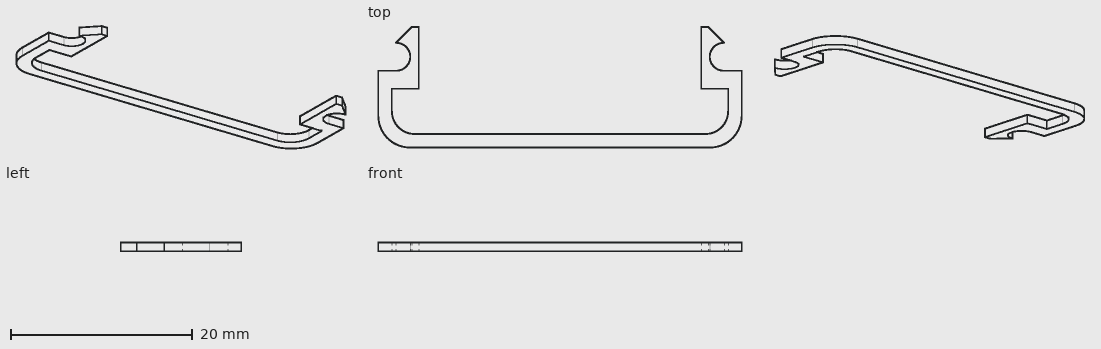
import cadquery as cq

length = 40.0
depth = 13.3
thickness = 1.0

wall = 1.5
outer_radius = 3.5
inner_radius = 2.5
shoulder_y = 8.5
ledge_y = 6.5

hook_inner_inset = 4.5
tip_flat = 0.8
barb_inset = 1.9
notch_radius = 1.5
notch_center_inset = 2.0
barb_y = shoulder_y + 2 * notch_radius

half_length = length / 2


def make_frame():
    """Bar with two upright arms, rounded outside and inside the corners."""
    outer = (
        cq.Workplane("XY")
        .rect(length, 2 * shoulder_y)
        .extrude(thickness)
        .edges("|Z")
        .fillet(outer_radius)
        .translate((0, shoulder_y, 0))
    )
    inner = (
        cq.Workplane("XY")
        .rect(length - 2 * wall, 2 * (shoulder_y - wall))
        .extrude(thickness)
        .edges("|Z")
        .fillet(inner_radius)
        .translate((0, shoulder_y, 0))
    )
    lower_half = cq.Workplane("XY").rect(length, shoulder_y).extrude(thickness)
    return outer.cut(inner).intersect(lower_half.translate((0, shoulder_y / 2, 0)))


def make_hook():
    """Left ledge and barbed hook, with a half-round notch below the barb."""
    hook_x = -half_length + hook_inner_inset
    notch_x = -half_length + notch_center_inset
    notch_y = shoulder_y + notch_radius
    barb_x = -half_length + barb_inset
    return (
        cq.Workplane("XY")
        .moveTo(-half_length, ledge_y)
        .lineTo(hook_x, ledge_y)
        .lineTo(hook_x, depth)
        .lineTo(hook_x - tip_flat, depth)
        .lineTo(barb_x, barb_y)
        .lineTo(notch_x, barb_y)
        .threePointArc((notch_x + notch_radius, notch_y), (notch_x, shoulder_y))
        .lineTo(-half_length, shoulder_y)
        .close()
        .extrude(thickness)
    )


hook = make_hook()
result = make_frame().union(hook).union(hook.mirror("YZ"))